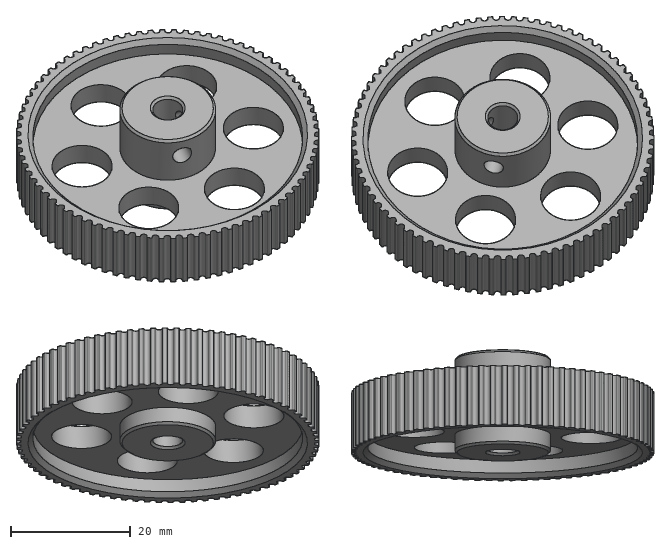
import cadquery as cq
import math

tooth_count = 80
tip_radius = 25.22
rim_height = 10.0

groove_depth = 0.75
groove_root_radius = 0.555
groove_mouth_radius = 0.15

web_bottom = 3.0
web_top = rim_height - web_bottom
recess_radius = 22.5
recess_chamfer = 0.8

hub_radius = 8.0
hub_top = 16.0
hub_chamfer = 0.4
bore_radius = 2.5

window_count = 6
window_radius = 5.0
window_circle_radius = 15.0
first_window_angle = 90

screw_radius = 1.65
screw_height = 12.4


def groove_outline():
    """Outline of the groove on the +X axis, running past the tooth tips."""
    root_x = tip_radius - groove_depth
    centre_x = root_x + groove_root_radius
    mouth_centre_radius = tip_radius - groove_mouth_radius
    mouth_centre_y = groove_root_radius + groove_mouth_radius
    corner_angle = math.asin(mouth_centre_y / mouth_centre_radius)
    wall_x = mouth_centre_radius * math.cos(corner_angle)
    corner_x = tip_radius * math.cos(corner_angle)
    corner_y = tip_radius * math.sin(corner_angle)
    mid_angle = (corner_angle - math.pi / 2) / 2
    mid_x = wall_x + groove_mouth_radius * math.cos(mid_angle)
    mid_y = mouth_centre_y + groove_mouth_radius * math.sin(mid_angle)
    outer_x = tip_radius + groove_depth
    return (
        cq.Workplane("XY")
        .moveTo(centre_x, -groove_root_radius)
        .threePointArc((root_x, 0), (centre_x, groove_root_radius))
        .lineTo(wall_x, groove_root_radius)
        .threePointArc((mid_x, mid_y), (corner_x, corner_y))
        .lineTo(outer_x, corner_y)
        .lineTo(outer_x, -corner_y)
        .lineTo(corner_x, -corner_y)
        .threePointArc((mid_x, -mid_y), (wall_x, -groove_root_radius))
        .close()
    )


def make_blank():
    """Revolved body: rim, web and hub with all chamfers."""
    recess_mouth = recess_radius + recess_chamfer
    bore_mouth = bore_radius + hub_chamfer
    return (
        cq.Workplane("XZ")
        .moveTo(bore_mouth, 0)
        .lineTo(hub_radius - hub_chamfer, 0)
        .lineTo(hub_radius, hub_chamfer)
        .lineTo(hub_radius, web_bottom)
        .lineTo(recess_radius, web_bottom)
        .lineTo(recess_radius, recess_chamfer)
        .lineTo(recess_mouth, 0)
        .lineTo(tip_radius, 0)
        .lineTo(tip_radius, rim_height)
        .lineTo(recess_mouth, rim_height)
        .lineTo(recess_radius, rim_height - recess_chamfer)
        .lineTo(recess_radius, web_top)
        .lineTo(hub_radius, web_top)
        .lineTo(hub_radius, hub_top - hub_chamfer)
        .lineTo(hub_radius - hub_chamfer, hub_top)
        .lineTo(bore_mouth, hub_top)
        .lineTo(bore_radius, hub_top - hub_chamfer)
        .lineTo(bore_radius, hub_chamfer)
        .close()
        .revolve(360, (0, 0, 0), (0, 1, 0))
    )


def cut_grooves(body):
    """Cut the belt grooves around the rim."""
    cutter = groove_outline().extrude(rim_height).val()
    step = 360 / tooth_count
    cutters = [cutter.rotate((0, 0, 0), (0, 0, 1), i * step) for i in range(tooth_count)]
    return cq.Workplane(body.val().cut(*cutters))


def cut_windows(body):
    """Cut the lightening holes through the web."""
    windows = (
        cq.Workplane("XY")
        .polarArray(window_circle_radius, first_window_angle, 360, window_count)
        .circle(window_radius)
        .extrude(rim_height)
    )
    return body.cut(windows)


def cut_screw_holes(body):
    """Drill a set screw hole along each direction from the axis out through the hub wall."""
    for direction in (cq.Vector(1, 0, 0), cq.Vector(0, 1, 0)):
        drill = cq.Solid.makeCylinder(screw_radius, hub_radius, cq.Vector(0, 0, screw_height), direction)
        body = body.cut(cq.Workplane(drill))
    return body


result = cut_screw_holes(cut_windows(cut_grooves(make_blank())))